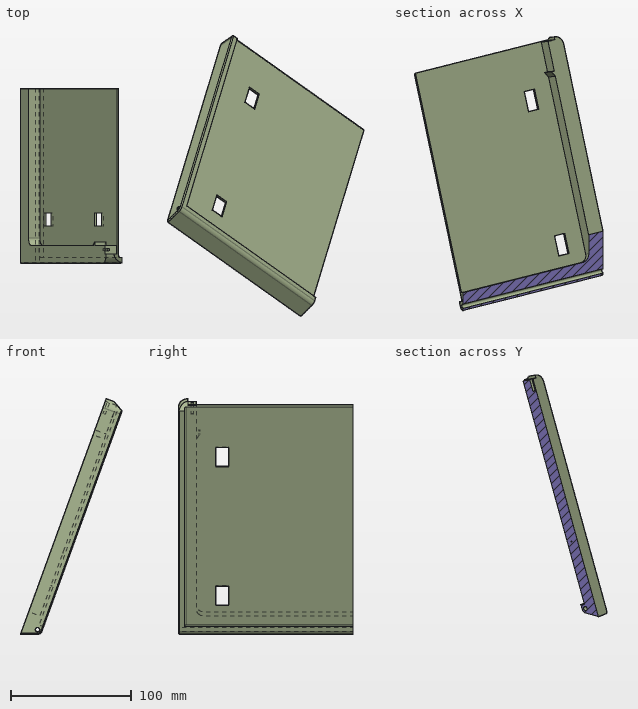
import cadquery as cq
import math


LEAN_ANGLE = 20.0
WIDTH = 145.0
SLOPE_LENGTH = 208.02
DEPTH = 16.0
HINGE_RADIUS = 4.0
EDGE_CHAMFER = 1.0

RECESS_DEPTH = 10.0
PLATE_THICKNESS = 2.0
PLATE_BACK = RECESS_DEPTH + PLATE_THICKNESS
LEDGE_HEIGHT = 20.0
SIDE_FRAME_WIDTH = 15.0
RECESS_CORNER_RADIUS = 6.0

BACK_RIM_WIDTH = 5.0
BACK_CORNER_RADIUS = 2.0

LIP_WIDTH = 8.0
LIP_STEP = 2.4
TOP_BEVEL_ANGLE = 30.0
TOP_BEVEL_START = 6.93

HINGE_HOLE_DIAMETER = 3.4
PILOT_HOLE_DIAMETER = 2.07
PILOT_HOLE_DEPTH = 10.0
PILOT_HOLE_INSET = 2.75

WINDOW_WIDTH = 10.5
WINDOW_HEIGHT = 17.0
WINDOW_SIDE = 31.2
WINDOW_BOTTOMS = (29.75, 152.1)

CATCH_TOP = 180.4
CATCH_REACH = 3.0
CATCH_HEIGHT = 4.4

OVERCUT = 5.0

LEAN = math.radians(LEAN_ANGLE)
HINGE_X = DEPTH - HINGE_RADIUS
HINGE_Z = HINGE_X * math.tan(LEAN) + HINGE_RADIUS / math.cos(LEAN)


def box(x_range, y_range, z_range):
    """Box spanning the given (low, high) ranges."""
    sizes = [high - low for low, high in (x_range, y_range, z_range)]
    corner = (x_range[0], y_range[0], z_range[0])
    return cq.Workplane("XY").box(*sizes, centered=False).translate(corner)


def make_blank():
    """Full-depth panel with a level base, rounded hinge edge and chamfered side edge."""
    base_rise = DEPTH * math.tan(LEAN)
    blank = (
        cq.Workplane("XZ")
        .polyline([(0, 0), (DEPTH, base_rise), (DEPTH, SLOPE_LENGTH), (0, SLOPE_LENGTH)])
        .close()
        .extrude(-WIDTH)
    )
    blank = blank.edges("|Y").edges(cq.NearestToPointSelector((DEPTH, WIDTH / 2, base_rise)))
    blank = blank.fillet(HINGE_RADIUS)
    back_side_edge = cq.NearestToPointSelector((DEPTH, 0, SLOPE_LENGTH / 2))
    return blank.faces("<Y").edges(back_side_edge).chamfer(EDGE_CHAMFER)


def make_front_recess():
    """Recess open to the top and the far side, with one rounded inner corner."""
    recess = box(
        (-OVERCUT, RECESS_DEPTH),
        (SIDE_FRAME_WIDTH, WIDTH + OVERCUT),
        (LEDGE_HEIGHT, SLOPE_LENGTH + OVERCUT),
    )
    return recess.edges("|X and <Y and <Z").fillet(RECESS_CORNER_RADIUS)


def make_back_pocket():
    """Pocket behind the plate, leaving a side rim and the hinge bar."""
    pocket = box(
        (PLATE_BACK, DEPTH + OVERCUT),
        (BACK_RIM_WIDTH, WIDTH + OVERCUT),
        (HINGE_Z + HINGE_RADIUS, SLOPE_LENGTH + OVERCUT),
    )
    return pocket.edges("|Z and <X and <Y").fillet(BACK_CORNER_RADIUS)


def round_top_corner(body):
    """Round the upper side corner over the width of the lip."""
    corner = box(
        (-OVERCUT, DEPTH + OVERCUT),
        (-OVERCUT, LIP_WIDTH),
        (SLOPE_LENGTH - LIP_WIDTH, SLOPE_LENGTH + OVERCUT),
    )
    rounding = (
        cq.Workplane("YZ", origin=(-OVERCUT, LIP_WIDTH, SLOPE_LENGTH - LIP_WIDTH))
        .circle(LIP_WIDTH)
        .extrude(DEPTH + 2 * OVERCUT)
    )
    return body.cut(corner.cut(rounding))


def make_lip_step():
    """Material removed beside the lip, in front of the plate."""
    return box(
        (-OVERCUT, RECESS_DEPTH),
        (LIP_WIDTH, SIDE_FRAME_WIDTH),
        (SLOPE_LENGTH - LIP_STEP, SLOPE_LENGTH + OVERCUT),
    )


def make_top_bevel():
    """Wedge that slopes the top down toward the back."""
    run = DEPTH + OVERCUT - TOP_BEVEL_START
    drop = run * math.tan(math.radians(TOP_BEVEL_ANGLE))
    return (
        cq.Workplane("XZ", origin=(TOP_BEVEL_START, 0, SLOPE_LENGTH))
        .polyline([(0, 0), (run, -drop), (run, 0)])
        .close()
        .extrude(-WIDTH)
    )


def make_hinge_hole():
    """Pin hole running the whole width along the hinge axis."""
    return (
        cq.Workplane("XZ", origin=(HINGE_X, 0, HINGE_Z))
        .circle(HINGE_HOLE_DIAMETER / 2)
        .extrude(-WIDTH)
    )


def make_pilot_hole():
    """Blind hole down into the stepped top of the side frame."""
    center_y = (LIP_WIDTH + SIDE_FRAME_WIDTH) / 2
    return (
        cq.Workplane("XY", origin=(PILOT_HOLE_INSET, center_y, SLOPE_LENGTH - LIP_STEP))
        .circle(PILOT_HOLE_DIAMETER / 2)
        .extrude(-PILOT_HOLE_DEPTH)
    )


def make_window(bottom):
    """Rectangular opening through the plate."""
    return box(
        (RECESS_DEPTH - OVERCUT, PLATE_BACK + OVERCUT),
        (WINDOW_SIDE, WINDOW_SIDE + WINDOW_WIDTH),
        (bottom, bottom + WINDOW_HEIGHT),
    )


def make_catch():
    """Triangular catch standing on the recess side wall, as deep as the recess."""
    return (
        cq.Workplane("YZ", origin=(0, SIDE_FRAME_WIDTH, CATCH_TOP))
        .polyline([(0, 0), (CATCH_REACH, 0), (0, -CATCH_HEIGHT)])
        .close()
        .extrude(RECESS_DEPTH)
    )


panel = make_blank()
panel = panel.cut(make_front_recess())
panel = panel.cut(make_back_pocket())
panel = round_top_corner(panel)
panel = panel.cut(make_lip_step())
panel = panel.cut(make_top_bevel())
panel = panel.cut(make_hinge_hole())
panel = panel.cut(make_pilot_hole())
for window_bottom in WINDOW_BOTTOMS:
    panel = panel.cut(make_window(window_bottom))
panel = panel.union(make_catch())

result = panel.rotate((0, 0, 0), (0, 1, 0), LEAN_ANGLE)